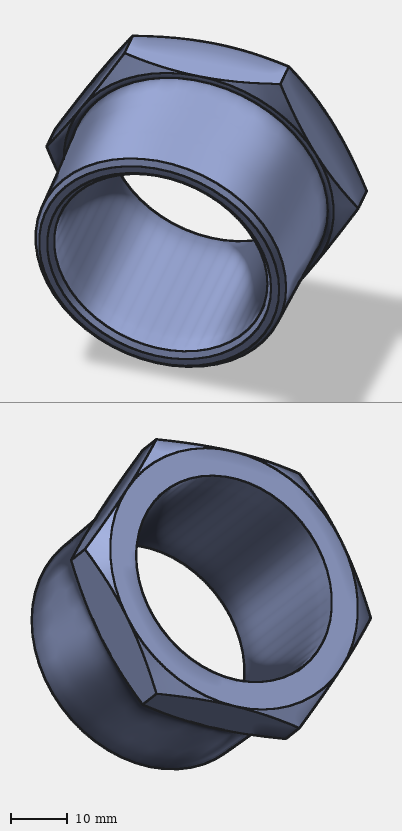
import cadquery as cq
import math

HEX_CORNER_DIAMETER = 57.75
HEX_FLAT_RADIUS = HEX_CORNER_DIAMETER / 2 * math.cos(math.radians(30))
HEX_THICKNESS = 9.5
HEX_CHAMFER_ANGLE = 30.0

TOTAL_LENGTH = 33.0
TIP_Y = HEX_THICKNESS - TOTAL_LENGTH
TAPER_RATIO = 1 / 16
TIP_RADIUS = 22.2
TIP_CHAMFER = 1.0
SPIGOT_END_RADIUS = TIP_RADIUS + TIP_CHAMFER
TAPER_LENGTH = -TIP_Y - TIP_CHAMFER
SPIGOT_ROOT_RADIUS = SPIGOT_END_RADIUS + TAPER_LENGTH * TAPER_RATIO / 2

BORE_RADIUS = 19.75
BORE_CHAMFER = 1.0


def revolve_about_y(profile):
    """Turn (radius, y) points into a solid of revolution about the Y axis."""
    return cq.Workplane("XY").polyline(profile).close().revolve(360, (0, 0, 0), (0, 1, 0))


def hexagon_head():
    """Hexagonal prism with its corners turned down to the flats on both faces."""
    prism = (
        cq.Workplane("XZ")
        .polygon(6, HEX_CORNER_DIAMETER)
        .extrude(-HEX_THICKNESS)
    )
    corner_radius = HEX_CORNER_DIAMETER / 2
    corner_drop = (corner_radius - HEX_FLAT_RADIUS) * math.tan(math.radians(HEX_CHAMFER_ANGLE))
    turned_envelope = revolve_about_y([
        (0, 0),
        (HEX_FLAT_RADIUS, 0),
        (corner_radius, corner_drop),
        (corner_radius, HEX_THICKNESS - corner_drop),
        (HEX_FLAT_RADIUS, HEX_THICKNESS),
        (0, HEX_THICKNESS),
    ])
    return prism.intersect(turned_envelope)


def spigot():
    """Taper from the head face to the chamfered tip."""
    return revolve_about_y([
        (0, TIP_Y),
        (TIP_RADIUS, TIP_Y),
        (SPIGOT_END_RADIUS, TIP_Y + TIP_CHAMFER),
        (SPIGOT_ROOT_RADIUS, 0),
        (0, 0),
    ])


def bore():
    """Through bore including its mouth chamfer at the tip."""
    return revolve_about_y([
        (0, TIP_Y),
        (BORE_RADIUS + BORE_CHAMFER, TIP_Y),
        (BORE_RADIUS, TIP_Y + BORE_CHAMFER),
        (BORE_RADIUS, HEX_THICKNESS),
        (0, HEX_THICKNESS),
    ])


result = hexagon_head().union(spigot()).cut(bore())